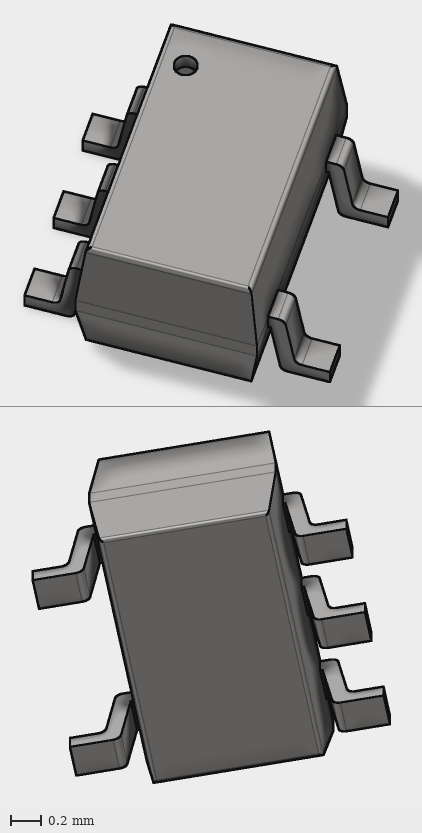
import cadquery as cq
import math

OVERALL_SPAN = 2.1
OVERALL_HEIGHT = 1.1

HOUSING_WIDTH = 1.25
HOUSING_LENGTH = 2.02
STANDOFF = 0.05
BAND_TOP = 0.571
UPPER_INSET = 0.057
LOWER_INSET = 0.059
TOP_FILLET = 0.035
BOTTOM_FILLET = 0.027

MARK_DIAMETER = 0.155
MARK_DEPTH = 0.125
MARK_X = -0.375

LEAD_THICKNESS = 0.115
LEAD_WIDTH = 0.225
LEAD_PITCH = 0.65
LEAD_LEAN = math.radians(9.0)
BEND_RADIUS = 0.055
ANKLE_REACH = 0.237
LEFT_ROWS = (-1, 0, 1)
RIGHT_ROWS = (-1, 1)

BAND_BOTTOM = BAND_TOP - LEAD_THICKNESS


def tapered_half(start_z, end_z, inset):
    """Block that narrows by the same inset on every side from start_z to end_z."""
    height = abs(end_z - start_z)
    return (
        cq.Workplane("XY", origin=(0, 0, start_z))
        .rect(HOUSING_WIDTH, HOUSING_LENGTH)
        .extrude(end_z - start_z, taper=math.degrees(math.atan(inset / height)))
    )


def make_housing():
    """Moulded housing with a straight band, two tapered halves and the pin-one mark."""
    upper = tapered_half(BAND_TOP, OVERALL_HEIGHT, UPPER_INSET)
    lower = tapered_half(BAND_BOTTOM, STANDOFF, LOWER_INSET)
    upper = upper.faces(">Z").edges().fillet(TOP_FILLET)
    lower = lower.faces("<Z").edges().fillet(BOTTOM_FILLET)
    band = cq.Workplane("XY", origin=(0, 0, BAND_BOTTOM)).box(
        HOUSING_WIDTH, HOUSING_LENGTH, LEAD_THICKNESS, centered=(True, True, False)
    )
    mark = (
        cq.Workplane("XY", origin=(MARK_X, LEAD_PITCH, OVERALL_HEIGHT))
        .circle(MARK_DIAMETER / 2)
        .extrude(-MARK_DEPTH)
    )
    return band.union(upper).union(lower).cut(mark).solids()


def make_left_lead():
    """Gull-wing lead centred on Y = 0 that ends on the left face of the housing."""
    toe_x = -OVERALL_SPAN / 2
    face_x = -HOUSING_WIDTH / 2
    leg_width = LEAD_THICKNESS / math.cos(LEAD_LEAN)

    def outer_leg_x(z):
        return toe_x + ANKLE_REACH + (z - LEAD_THICKNESS) * math.tan(LEAD_LEAN)

    ankle = (outer_leg_x(LEAD_THICKNESS), LEAD_THICKNESS)
    shoulder = (outer_leg_x(BAND_TOP), BAND_TOP)
    armpit = (outer_leg_x(BAND_BOTTOM) + leg_width, BAND_BOTTOM)
    heel = (outer_leg_x(0) + leg_width, 0)
    lead = (
        cq.Workplane("XZ")
        .moveTo(toe_x, 0)
        .lineTo(toe_x, LEAD_THICKNESS)
        .lineTo(*ankle)
        .lineTo(*shoulder)
        .lineTo(face_x, BAND_TOP)
        .lineTo(face_x, BAND_BOTTOM)
        .lineTo(*armpit)
        .lineTo(*heel)
        .close()
        .extrude(LEAD_WIDTH / 2, both=True)
    )
    for x, z in (ankle, shoulder, heel):
        bend = cq.selectors.NearestToPointSelector((x, 0, z))
        lead = lead.edges("|Y").edges(bend).fillet(BEND_RADIUS)
    return lead.solids()


def make_leads():
    """Three leads on the left side and two on the right, each a separate solid."""
    left_lead = make_left_lead()
    right_lead = left_lead.mirror("YZ")
    leads = []
    for lead, rows in ((left_lead, LEFT_ROWS), (right_lead, RIGHT_ROWS)):
        for row in rows:
            leads.append(lead.translate((0, row * LEAD_PITCH, 0)).val())
    return leads


housing = make_housing()
leads = make_leads()

result = cq.Compound.makeCompound([housing.val(), *leads])